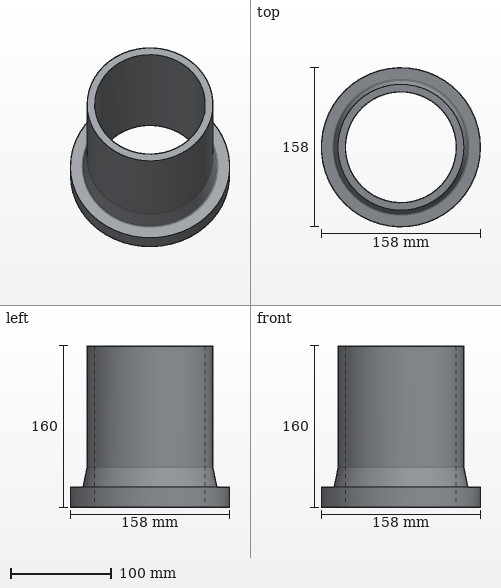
import cadquery as cq

total_height = 160.0
flange_diameter = 158.0
flange_thickness = 20.2
pipe_diameter = 125.0
bore_diameter = 109.8

shoulder_top = 40.2
shoulder_base_diameter = 133.1
base_fillet_radius = 1.0

flange_radius = flange_diameter / 2
pipe_radius = pipe_diameter / 2
bore_radius = bore_diameter / 2
shoulder_base_radius = shoulder_base_diameter / 2

half_section = (
    cq.Workplane("XZ")
    .moveTo(bore_radius, 0)
    .lineTo(flange_radius, 0)
    .lineTo(flange_radius, flange_thickness)
    .lineTo(shoulder_base_radius, flange_thickness)
    .lineTo(pipe_radius, shoulder_top)
    .lineTo(pipe_radius, total_height)
    .lineTo(bore_radius, total_height)
    .close()
)
stub = half_section.revolve(360, (0, 0, 0), (0, 1, 0))

edge_search_margin = 0.2
search_size = 2 * (shoulder_base_radius + edge_search_margin)
shoulder_base_edge = cq.selectors.BoxSelector(
    (-search_size / 2, -search_size / 2, flange_thickness - edge_search_margin),
    (search_size / 2, search_size / 2, flange_thickness + edge_search_margin),
    boundingbox=True,
)
result = stub.edges(shoulder_base_edge).fillet(base_fillet_radius)